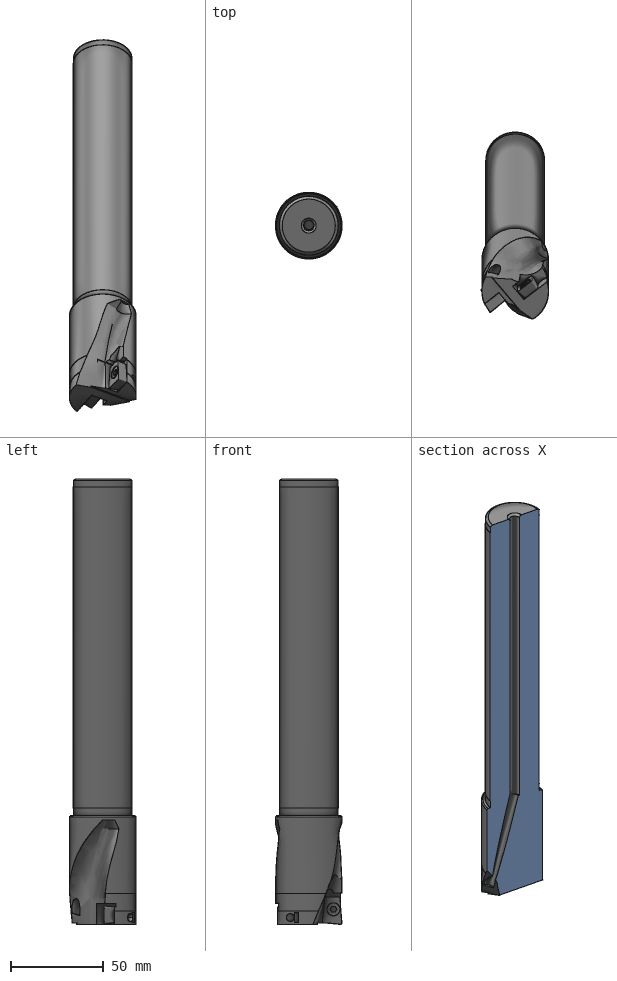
import cadquery as cq
import math


total_length = 239.82
head_radius = 35.9 / 2
shank_radius = 31.75 / 2
head_length = 58.6
head_chamfer = 0.7
neck_length = 4.2
neck_step = 0.1
end_band_length = 4.5
end_chamfer_width = 1.5
end_chamfer_height = 0.9
relief_start = 7.2
relief_end = 16.6
relief_depth = 0.12

bore_radius = 2.75
bore_mouth_radius = 4.0
bore_end = 60.0
outlet_radius = 2.75
outlet_target = cq.Vector(2.5, 13.0, 13.0)
outlet_reach = 1.15

center_flute_sections = [
    (-1.0, -3.0, 6.8, 114, 2),
    (10.0, -4.5, 6.6, 104, 3),
    (24.0, -7.0, 5.6, 79, 7),
    (38.0, -10.8, 3.8, 49, 18),
    (51.5, -14.9, 0.2, 14.5, 29),
    (56.3, -17.5, -1.5, 0, 21),
]
outer_flute_sections = [
    (-1.0, 6.0, -4.0, 84, -2),
    (12.0, 8.0, -4.0, 66, 1),
    (24.0, 10.0, -3.5, 48, 7),
    (38.0, 12.0, -2.0, 34.5, 17),
    (51.5, 14.9, -0.2, 22, 29),
    (56.3, 17.5, 1.5, 0, 21),
]
trailing_hollow_ratio = 0.2
outside_factor = 1.6

insert_thickness = 5.5
insert_relief_angle = 6
insert_corner_radius = 0.8
outer_face_y = -0.5
outer_foot_x = 7.2
outer_foot_rise = 1.0
outer_top_inner_x = 8.7
outer_top_outer_x = 16.7
outer_insert_height = 14.8
outer_insert_outline = [
    (outer_foot_x, outer_foot_rise),
    (outer_top_inner_x, outer_insert_height),
    (outer_top_outer_x, outer_insert_height),
    (head_radius, 0),
]
center_face_y = 0.7
center_inner_x = 1.0
center_outer_x = 11.2
center_foot = 0.3
center_top = 10.0
center_insert_outline = [
    (center_inner_x, center_foot),
    (center_inner_x, center_top),
    (center_outer_x, center_top),
    (center_outer_x, center_foot),
]

outer_screw_place = (13.3, 8.2)
center_screw_place = ((center_inner_x + center_outer_x) / 2, (center_foot + center_top) / 2)
screw_head_radius = 3.5
screw_head_height = 2.6
screw_head_recess = 0.4
screw_shank_radius = 2.0
screw_length = 10.5
socket_width = 3.6
socket_depth = 1.5

outer_pocket_top = 17.0
pocket_relief_radius = 2.0
pocket_relief_x = 11.2
pocket_front_depth = 8.0
flat_floor_y = 2.4
flat_outline = [(9.0, 14.0), (10.8, 21.5), (14.0, 27.0), (19.0, 23.5), (19.0, 0.0), (9.0, 0.0)]

center_pocket_top = 11.4
center_pocket_front_depth = 4.0
center_step_drop = 2.0
center_step_depth = 1.0

end_relief_start = 4.6
end_relief_height = 0.8

recess_x = -9.9
recess_z = 3.8
recess_radius = 2.1
recess_depth = 3.0
notch_width = 2.2
notch_height = 5.6
notch_depth = 1.5


def holder_blank():
    """Head, neck and shank turned about Z."""
    neck_end = head_length + neck_length
    band_start = total_length - end_band_length
    step_radius = shank_radius - neck_step
    relief_radius = head_radius - relief_depth
    profile = [
        (0, 0),
        (head_radius, 0),
        (head_radius, relief_start),
        (relief_radius, relief_start),
        (relief_radius, relief_end),
        (head_radius, relief_end),
        (head_radius, head_length - head_chamfer),
        (head_radius - head_chamfer, head_length),
        (step_radius, head_length),
        (step_radius, neck_end),
        (shank_radius, neck_end),
        (shank_radius, band_start),
        (step_radius, band_start),
        (step_radius, total_length - end_chamfer_height),
        (step_radius - end_chamfer_width, total_length),
        (0, total_length),
    ]
    return cq.Workplane("XZ").polyline(profile).close().revolve(360, (0, 0, 0), (0, 1, 0))


def coolant_passage():
    """Countersunk bore down the shank, with a slanted outlet into the flute wall."""
    mouth_height = bore_mouth_radius - bore_radius
    bore = cq.Workplane("XY", origin=(0, 0, bore_end)).circle(bore_radius).extrude(total_length - bore_end)
    mouth = cq.Solid.makeCone(
        bore_radius, bore_mouth_radius, mouth_height, cq.Vector(0, 0, total_length - mouth_height)
    )
    start = cq.Vector(0, 0, bore_end + bore_radius)
    path = outlet_target - start
    outlet = cq.Solid.makeCylinder(outlet_radius, path.Length * outlet_reach, start, path)
    return bore.union(cq.Workplane(mouth)).union(cq.Workplane(outlet))


def flute_section(side, height, corner_x, corner_y, wall_angle, trailing_angle):
    """Closed wire: straight wall, open outside, hollow trailing face. side is +1 on +X and -1 on -X."""

    def rim(angle, factor=1.0):
        radius = side * head_radius * factor
        turn = math.radians(angle)
        return cq.Vector(radius * math.cos(turn), -radius * math.sin(turn), height)

    corner = cq.Vector(corner_x, corner_y, height)
    wall_edge = rim(wall_angle)
    trailing_edge = rim(-trailing_angle)
    chord = corner - trailing_edge
    hollow = cq.Vector(-chord.y, chord.x, 0) * -trailing_hollow_ratio
    arc_middle = (corner + trailing_edge) * 0.5 + hollow
    points = [
        corner,
        wall_edge,
        rim(wall_angle, outside_factor),
        rim((wall_angle - trailing_angle) / 2, outside_factor),
        rim(-trailing_angle, outside_factor),
        trailing_edge,
    ]
    edges = [cq.Edge.makeLine(a, b) for a, b in zip(points, points[1:])]
    edges.append(cq.Edge.makeThreePointArc(trailing_edge, arc_middle, corner))
    return cq.Wire.assembleEdges(edges)


def flute(side, sections):
    """Chip flute that twists smoothly up the head and then runs out toward the shank."""
    wires = [flute_section(side, *section) for section in sections]
    channel = cq.Solid.makeLoft(wires[:-1], False)
    runout = cq.Solid.makeLoft(wires[-2:], True)
    return cq.Workplane(channel).union(cq.Workplane(runout))


def facing_plane(y):
    """Plane at the given Y whose normal is +Y; its second axis is -Z."""
    return cq.Workplane(cq.Plane(origin=(0, y, 0), xDir=(1, 0, 0), normal=(0, 1, 0)))


def prism(outline, y_start, y_end):
    """Prism between two Y planes from an outline of (X, Z) points."""
    flipped = [(x, -z) for x, z in outline]
    return facing_plane(y_start).polyline(flipped).close().extrude(y_end - y_start)


def rectangle(x_inner, x_outer, z_low, z_high):
    """Outline of a rectangle as (X, Z) points."""
    return [(x_inner, z_low), (x_inner, z_high), (x_outer, z_high), (x_outer, z_low)]


def screw_envelope(face_y, place):
    """Countersunk screw without its socket, its head sunk below the cutting face."""
    x, z = place
    top = cq.Vector(x, face_y + screw_head_recess, z)
    axis = cq.Vector(0, 1, 0)
    head = cq.Solid.makeCone(screw_head_radius, screw_shank_radius, screw_head_height, top, axis)
    shank = cq.Solid.makeCylinder(screw_shank_radius, screw_length, top, axis)
    return cq.Workplane(head).union(cq.Workplane(shank))


def screw(face_y, place):
    """Countersunk screw with a hexagon socket."""
    x, z = place
    top = facing_plane(face_y + screw_head_recess).center(x, -z)
    socket = top.polygon(6, socket_width).extrude(socket_depth)
    return screw_envelope(face_y, place).cut(socket)


def insert(outline, face_y, screw_place):
    """Cutting insert with relieved flanks and a countersunk screw hole."""
    flipped = [(x, -z) for x, z in outline]
    face = facing_plane(face_y).polyline(flipped).close()
    block = face.extrude(insert_thickness, taper=insert_relief_angle)
    block = block.edges("not(#Y)").fillet(insert_corner_radius)
    x, z = screw_place
    head_opening = facing_plane(face_y).center(x, -z).circle(screw_head_radius).extrude(screw_head_recess)
    return block.cut(screw_envelope(face_y, screw_place)).cut(head_opening)


def outer_pocket():
    """Seat of the outer insert, open outward and downward, with a corner relief and a flat above it."""
    floor_y = outer_face_y + insert_thickness
    front_y = outer_face_y - pocket_front_depth
    outside_x = head_radius * outside_factor
    outline = [
        (outer_foot_x, 0),
        (outer_foot_x, outer_foot_rise),
        (outer_top_inner_x, outer_insert_height),
        (outer_top_inner_x, outer_pocket_top),
        (outside_x, outer_pocket_top),
        (outside_x, 0),
    ]
    seat = prism(outline, front_y, floor_y)
    relief = facing_plane(front_y).center(pocket_relief_x, -outer_pocket_top)
    relief = relief.circle(pocket_relief_radius).extrude(floor_y - front_y)
    flat = prism(flat_outline, front_y, flat_floor_y)
    return seat.union(relief).union(flat)


def center_pocket():
    """Seat of the center insert, given on the +X side, with a deeper step along its top."""
    floor_y = center_face_y + insert_thickness
    front_y = center_face_y - center_pocket_front_depth
    outside_x = head_radius * outside_factor
    seat_outline = rectangle(center_inner_x, outside_x, 0, center_pocket_top)
    step_foot = center_pocket_top - center_step_drop
    step_outline = rectangle(center_inner_x, outside_x, step_foot, center_pocket_top)
    seat = prism(seat_outline, front_y, floor_y)
    step = prism(step_outline, front_y, floor_y + center_step_depth)
    return seat.union(step)


def outer_surface_recess():
    """Blind round recess with a rectangular notch beside it."""
    rim_y = -math.sqrt(head_radius**2 - recess_x**2)
    outside = facing_plane(-head_radius).center(recess_x, -recess_z)
    recess = outside.circle(recess_radius).extrude(head_radius + rim_y + recess_depth)
    notch_start = recess_x + recess_radius
    half_height = notch_height / 2
    notch_outline = rectangle(
        notch_start, notch_start + notch_width, recess_z - half_height, recess_z + half_height
    )
    return recess.union(prism(notch_outline, -head_radius, rim_y + notch_depth))


def end_relief():
    """Shallow step across the end of the head, behind the outer insert."""
    outline = rectangle(end_relief_start, head_radius, 0, end_relief_height)
    return prism(outline, -head_radius, head_radius)


def to_center_side(shape):
    """Half turn about the tool axis, from the +X side to the -X side."""
    return shape.rotate((0, 0, 0), (0, 0, 1), 180)


outer_insert = insert(outer_insert_outline, outer_face_y, outer_screw_place)
center_insert = to_center_side(insert(center_insert_outline, center_face_y, center_screw_place))

holder = holder_blank()
holder = holder.cut(coolant_passage())
holder = holder.cut(flute(-1, center_flute_sections))
holder = holder.cut(flute(1, outer_flute_sections))
holder = holder.cut(outer_pocket()).cut(to_center_side(center_pocket()))
holder = holder.cut(outer_surface_recess()).cut(end_relief())
holder = holder.union(screw(outer_face_y, outer_screw_place))
holder = holder.union(to_center_side(screw(center_face_y, center_screw_place)))

result = cq.Compound.makeCompound([holder.val(), outer_insert.val(), center_insert.val()])